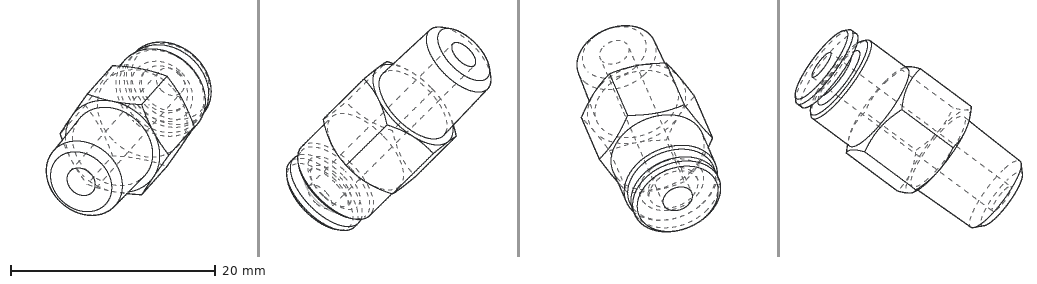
import cadquery as cq
import math

total_length = 22.7
hex_start = 8.01
hex_length = 7.5
hex_end = hex_start + hex_length
body_end = 20.5
neck_start = 20.97
collar_length = 1.0
collar_start = total_length - collar_length

bore_diameter = 3.0
stub_tip_diameter = 6.51
stub_small_diameter = 8.1
stub_large_diameter = 8.51
hex_across_flats = 10.0
body_diameter = 9.5
cone_base_diameter = 6.55
neck_diameter = 5.1
collar_diameter = 9.0

stub_chamfer_length = 0.8
body_chamfer = 0.27
collar_chamfer = 0.36
neck_fillet = 0.32
hex_chamfer_angle = 30.0

hex_across_corners = hex_across_flats / math.cos(math.radians(30))
overlap = 0.23


def revolve_about_y(profile):
    """Revolve a closed XY profile a full turn about the Y axis."""
    return profile.close().revolve(360, (0, 0, 0), (0, 1, 0))


def make_tapered_stub():
    return revolve_about_y(
        cq.Workplane("XY")
        .lineTo(stub_tip_diameter / 2, 0)
        .lineTo(stub_small_diameter / 2, stub_chamfer_length)
        .lineTo(stub_large_diameter / 2, hex_start)
        .lineTo(stub_large_diameter / 2, hex_start + overlap)
        .lineTo(0, hex_start + overlap)
    )


def make_hexagon():
    """Hexagon with corners on the X axis and conically turned ends."""
    prism = (
        cq.Workplane("XZ", origin=(0, hex_start, 0))
        .polygon(6, hex_across_corners)
        .extrude(-hex_length)
    )
    envelope_radius = hex_across_corners / 2 + overlap
    start_radius = hex_across_flats / 2
    end_radius = body_diameter / 2
    slope = math.tan(math.radians(hex_chamfer_angle))
    envelope = revolve_about_y(
        cq.Workplane("XY")
        .moveTo(0, hex_start)
        .lineTo(start_radius, hex_start)
        .lineTo(envelope_radius, hex_start + (envelope_radius - start_radius) * slope)
        .lineTo(envelope_radius, hex_end - (envelope_radius - end_radius) * slope)
        .lineTo(end_radius, hex_end)
        .lineTo(0, hex_end)
    )
    return prism.intersect(envelope)


def make_body_and_collar():
    """Round body, conical step, filleted neck and release collar."""
    body_radius = body_diameter / 2
    neck_radius = neck_diameter / 2
    collar_radius = collar_diameter / 2
    fillet_middle = neck_fillet * (1 - math.sqrt(0.5))
    return revolve_about_y(
        cq.Workplane("XY")
        .moveTo(0, hex_end - overlap)
        .lineTo(body_radius, hex_end - overlap)
        .lineTo(body_radius, body_end - body_chamfer)
        .lineTo(body_radius - body_chamfer, body_end)
        .lineTo(cone_base_diameter / 2, body_end)
        .lineTo(neck_radius, neck_start)
        .lineTo(neck_radius, collar_start - neck_fillet)
        .threePointArc(
            (neck_radius + fillet_middle, collar_start - fillet_middle),
            (neck_radius + neck_fillet, collar_start),
        )
        .lineTo(collar_radius, collar_start)
        .lineTo(collar_radius, total_length - collar_chamfer)
        .lineTo(collar_radius - collar_chamfer, total_length)
        .lineTo(0, total_length)
    )


bore = cq.Workplane("XZ").circle(bore_diameter / 2).extrude(-total_length)

result = make_tapered_stub().union(make_hexagon()).union(make_body_and_collar()).cut(bore)